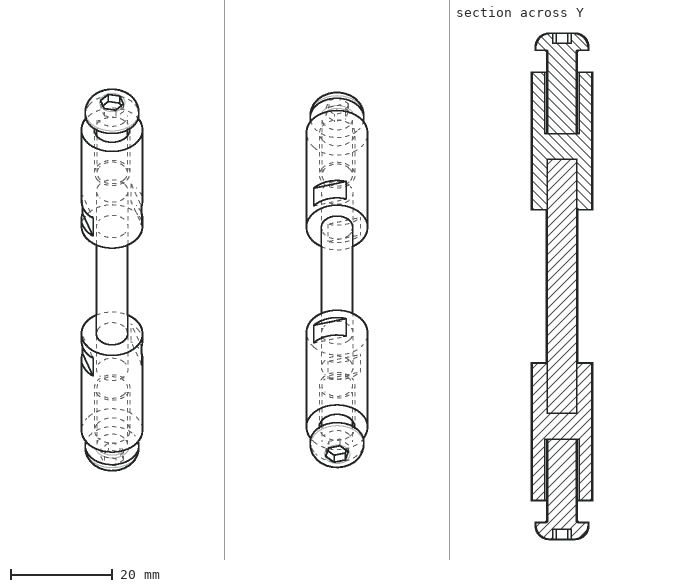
import cadquery as cq
import math

total_length = 99.4
sleeve_length = 27.0
sleeve_gap = 30.0
sleeve_inner_z = sleeve_gap / 2
sleeve_outer_z = sleeve_inner_z + sleeve_length

sleeve_diameter = 12.0
flat_across = 10.0
flat_length = 5.0
flat_end_offset = 2.1
screw_bore_diameter = 7.0

rod_diameter = 6.2
rod_insertion = 9.9
shank_diameter = 6.0
shank_insertion = 12.0

head_diameter = 10.5
head_height = 3.4
head_rim_height = 0.8
dome_top_diameter = 5.0
neck_flare = 0.4
head_base_z = total_length / 2 - head_height

hex_across_flats = 4.0
hex_depth = 2.0
hex_corner_diameter = hex_across_flats / math.cos(math.pi / 6)


def cylinder(diameter, bottom_z, top_z):
    return cq.Workplane("XY").workplane(offset=bottom_z).circle(diameter / 2).extrude(top_z - bottom_z)


def cut_wrench_flats(body):
    flat_bottom_z = sleeve_inner_z + flat_end_offset
    middle_z = flat_bottom_z + flat_length / 2
    cut_depth = (sleeve_diameter - flat_across) / 2
    for side in (-1, 1):
        cutter = cq.Workplane("XY").box(sleeve_diameter, cut_depth, flat_length)
        body = body.cut(cutter.translate((0, side * (flat_across + cut_depth) / 2, middle_z)))
    return body


def make_sleeve():
    """Upper sleeve, with a rod socket below and a screw socket above."""
    body = cylinder(sleeve_diameter, sleeve_inner_z, sleeve_outer_z)
    body = body.cut(cylinder(rod_diameter, sleeve_inner_z, sleeve_inner_z + rod_insertion))
    body = body.cut(cylinder(screw_bore_diameter, sleeve_outer_z - shank_insertion, sleeve_outer_z))
    return cut_wrench_flats(body)


def make_screw():
    """Upper button-head screw: revolved profile with a hexagon socket."""
    shank_radius = shank_diameter / 2
    head_radius = head_diameter / 2
    top_radius = dome_top_diameter / 2
    rim_z = head_base_z + head_rim_height
    top_z = total_length / 2

    dome_width = head_radius - top_radius
    dome_height = top_z - rim_z
    dome_radius = (dome_width**2 + dome_height**2) / (2 * dome_height)

    body = (
        cq.Workplane("XZ")
        .moveTo(0, sleeve_outer_z - shank_insertion)
        .lineTo(shank_radius, sleeve_outer_z - shank_insertion)
        .lineTo(shank_radius, head_base_z - neck_flare)
        .radiusArc((shank_radius + neck_flare, head_base_z), neck_flare)
        .lineTo(head_radius, head_base_z)
        .lineTo(head_radius, rim_z)
        .radiusArc((top_radius, top_z), -dome_radius)
        .lineTo(0, top_z)
        .close()
        .revolve(360, (0, 0, 0), (0, 1, 0))
    )
    socket = (
        cq.Workplane("XY")
        .workplane(offset=top_z - hex_depth)
        .polygon(6, hex_corner_diameter)
        .extrude(hex_depth)
    )
    return body.cut(socket)


def at_both_ends(body):
    """The body at the upper end and its mirror image at the lower end."""
    return [body.val(), body.mirror("XY").val()]


rod_half_length = sleeve_inner_z + rod_insertion
rod = cylinder(rod_diameter, -rod_half_length, rod_half_length)
sleeves = at_both_ends(make_sleeve())
screws = at_both_ends(make_screw())

result = cq.Compound.makeCompound([rod.val(), *sleeves, *screws])